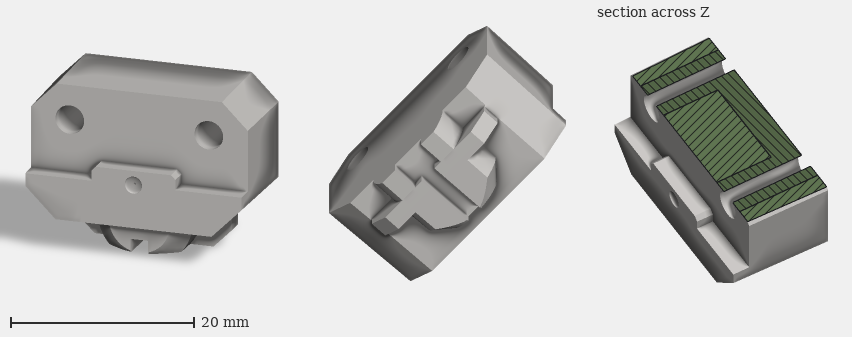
import cadquery as cq
import math

DRAFT = 1.0
DRAFT_SLOPE = math.tan(math.radians(DRAFT))

WIDTH = 25.35
TOP_Z = 15.18
BOTTOM_Z = -0.18
TOP_CHAMFER = 3.1
BOTTOM_CHAMFER = 3.6

TOTAL_DEPTH = 12.0
RIDGE_HEIGHT = 2.0
MAIN_DEPTH = TOTAL_DEPTH - RIDGE_HEIGHT
INSERT_THICKNESS = 3.0
RIB_THICKNESS = 2.0
BOSS_START = INSERT_THICKNESS + RIB_THICKNESS

RIDGE_TOP_Z = 5.0
TAB_TOP_Z = 6.67
TAB_WIDTH = 9.73
TAB_CHAMFER = 0.5

DIMPLE_RADIUS = 1.0
DIMPLE_DEPTH = 0.48
PINHOLE_DIAMETER = 0.25
PINHOLE_DEPTH = 0.25

FOOT_Z = -3.75
RIB_WIDTH = 18.0
RIB_CHAMFER = 2.15
RIB_BOTTOM_Z = -3.68
BOSS_RADIUS = 5.55
BOSS_CHAMFER = 2.0
SLOT_TOP_Z = -2.0
FRONT_SLOT_WIDTH = 2.03
REAR_SLOT_WIDTH = 4.15

BUSHING_X = 8.0
BUSHING_Z = 11.0
BUSHING_DIAMETER = 5.5
BORE_DIAMETER = 3.3
PLATE_HALF_WIDTH = BUSHING_X + BUSHING_DIAMETER / 2
PLATE_TOP_Z = BUSHING_Z + BUSHING_DIAMETER / 2


def section(depth=0.0):
    """XZ sketch plane at a given depth from the rear face; extrusions run toward -Y."""
    return cq.Workplane("XZ", origin=(0, -depth, 0))


def block(width, z_low, z_high, start, end):
    """Box centred on X = 0, between two heights and two depths."""
    return (
        section(start)
        .center(0, (z_low + z_high) / 2)
        .rect(width, z_high - z_low)
        .extrude(end - start)
    )


def drafted_body(depth):
    """Eight-sided body that narrows toward the front."""
    half = WIDTH / 2
    half_outline = [
        (half - BOTTOM_CHAMFER, BOTTOM_Z),
        (half, BOTTOM_Z + BOTTOM_CHAMFER),
        (half, TOP_Z - TOP_CHAMFER),
        (half - TOP_CHAMFER, TOP_Z),
    ]
    mirrored = [(-x, z) for x, z in reversed(half_outline)]
    return section().polyline(half_outline + mirrored).close().extrude(depth, taper=DRAFT)


def front_ridge():
    """Ridge across the lower front with a raised, chamfered tab."""
    half_tab = TAB_WIDTH / 2
    half_outline = [
        (WIDTH, -TOP_Z),
        (WIDTH, RIDGE_TOP_Z),
        (half_tab, RIDGE_TOP_Z),
        (half_tab, TAB_TOP_Z - TAB_CHAMFER),
        (half_tab - TAB_CHAMFER, TAB_TOP_Z),
    ]
    mirrored = [(-x, z) for x, z in reversed(half_outline)]
    envelope = (
        section(MAIN_DEPTH).polyline(half_outline + mirrored).close().extrude(RIDGE_HEIGHT, taper=DRAFT)
    )
    return drafted_body(TOTAL_DEPTH).intersect(envelope)


def gate_dimple():
    """Shallow elliptical dimple with a pinhole in the middle of its floor."""
    bowl = (
        cq.Workplane("XY", origin=(0, -TOTAL_DEPTH, RIDGE_TOP_Z))
        .ellipseArc(DIMPLE_RADIUS, DIMPLE_DEPTH, 0, 90, startAtCurrent=False)
        .lineTo(0, 0)
        .close()
        .revolve(360, (0, 0, 0), (0, 1, 0))
    )
    pinhole = (
        section(TOTAL_DEPTH)
        .center(0, RIDGE_TOP_Z)
        .circle(PINHOLE_DIAMETER / 2)
        .extrude(-(DIMPLE_DEPTH + PINHOLE_DEPTH))
    )
    return bowl.union(pinhole)


def under_rib():
    """Cross rib under the housing with chamfered lower corners."""
    rib = block(RIB_WIDTH, RIB_BOTTOM_Z, RIDGE_TOP_Z, INSERT_THICKNESS, BOSS_START)
    return rib.edges("|Y and <Z").chamfer(RIB_CHAMFER)


def front_boss():
    """Drafted round boss in front of the rib with a conical front edge."""
    chamfer_start = MAIN_DEPTH - BOSS_CHAMFER
    drafted_radius = BOSS_RADIUS - (chamfer_start - BOSS_START) * DRAFT_SLOPE
    half_profile = [
        (0, -BOSS_START),
        (BOSS_RADIUS, -BOSS_START),
        (drafted_radius, -chamfer_start),
        (drafted_radius - BOSS_CHAMFER, -MAIN_DEPTH),
        (0, -MAIN_DEPTH),
    ]
    return cq.Workplane("XY").polyline(half_profile).close().revolve(360, (0, 0, 0), (0, 1, 0))


def foot_envelope():
    """Space above the drafted plane that limits the rib and the boss from below."""
    front_z = FOOT_Z + MAIN_DEPTH * DRAFT_SLOPE
    return (
        cq.Workplane("YZ")
        .polyline([(0, FOOT_Z), (0, TOP_Z), (-MAIN_DEPTH, TOP_Z), (-MAIN_DEPTH, front_z)])
        .close()
        .extrude(WIDTH / 2, both=True)
    )


def bushings(diameter):
    """Two cylinders at the bushing positions, as deep as the main body."""
    return (
        section()
        .pushPoints([(-BUSHING_X, BUSHING_Z), (BUSHING_X, BUSHING_Z)])
        .circle(diameter / 2)
        .extrude(MAIN_DEPTH)
    )


def insert_blank():
    """Rear plate, half-round foot and bushings before the bores and the slot are cut."""
    plate = block(2 * PLATE_HALF_WIDTH, 0, PLATE_TOP_Z, 0, INSERT_THICKNESS)
    plate = plate.edges("|Y and >Z").fillet(BUSHING_DIAMETER / 2)
    plate = plate.edges("|Y and <Z").chamfer(BOTTOM_CHAMFER)
    foot = section().circle(BOSS_RADIUS).extrude(INSERT_THICKNESS)
    foot = foot.intersect(block(WIDTH, FOOT_Z, BOSS_RADIUS, 0, INSERT_THICKNESS))
    return plate.union(foot).union(bushings(BUSHING_DIAMETER))


def make_housing():
    underside = under_rib().union(front_boss()).intersect(foot_envelope())
    slot = block(FRONT_SLOT_WIDTH, 2 * FOOT_Z, SLOT_TOP_Z, 0, TOTAL_DEPTH)
    rear_relief = block(WIDTH, FOOT_Z, 0, 0, INSERT_THICKNESS)
    return (
        drafted_body(MAIN_DEPTH)
        .union(front_ridge())
        .union(underside)
        .cut(slot)
        .cut(gate_dimple())
        .cut(rear_relief)
        .cut(insert_blank())
    )


def make_insert():
    slot = block(REAR_SLOT_WIDTH, 2 * FOOT_Z, SLOT_TOP_Z, 0, INSERT_THICKNESS)
    return insert_blank().cut(bushings(BORE_DIAMETER)).cut(slot)


housing = make_housing()
insert = make_insert()

result = cq.Compound.makeCompound([housing.val(), insert.val()])